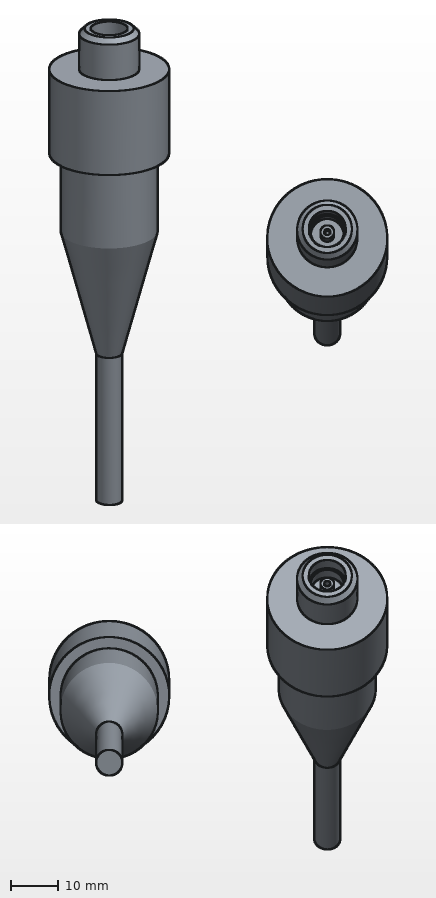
import cadquery as cq

cable_diameter = 5.6
sleeve_diameter = 20.6
collar_diameter = 25.4
nose_diameter = 12.7
socket_diameter = 7.8
bore_diameter = 7.0
pin_diameter = 2.9
pin_hole_diameter = 1.3

cable_end = 0.0
cable_end_rise = 0.16
taper_bottom = 33.4
taper_top = 61.1
collar_bottom = 78.8
collar_top = 97.9
nose_top = 107.1

nose_chamfer = 1.2
socket_depth = 3.3
bore_depth = 6.4
pin_height = 3.2
pin_hole_depth = 2.1

bore_floor = nose_top - bore_depth
pin_top = bore_floor + pin_height


def cylinder(diameter, bottom, top):
    """Upright cylinder on the common axis."""
    return cq.Workplane("XY").workplane(offset=bottom).circle(diameter / 2).extrude(top - bottom)


def make_cable():
    """Round cable below the sleeve, its free end cut slightly aslant and lowest at +X."""
    cable_radius = cable_diameter / 2
    slanted_offcut = (
        cq.Workplane("XZ")
        .polyline([
            (-cable_radius, cable_end),
            (cable_radius, cable_end),
            (-cable_radius, cable_end + cable_end_rise),
        ])
        .close()
        .extrude(cable_radius, both=True)
    )
    return cylinder(cable_diameter, cable_end, taper_bottom).cut(slanted_offcut)


def make_sleeve():
    """Strain-relief sleeve: a straight barrel that tapers down to the cable."""
    profile = [
        (0, taper_bottom),
        (cable_diameter / 2, taper_bottom),
        (sleeve_diameter / 2, taper_top),
        (sleeve_diameter / 2, collar_bottom),
        (0, collar_bottom),
    ]
    return cq.Workplane("XZ").polyline(profile).close().revolve(360, (0, 0), (0, 1))


def make_connector():
    """Collar with a chamfered nose and a stepped socket."""
    collar = cylinder(collar_diameter, collar_bottom, collar_top)
    nose = cylinder(nose_diameter, collar_top, nose_top).faces(">Z").chamfer(nose_chamfer)
    socket = cylinder(socket_diameter, nose_top - socket_depth, nose_top)
    bore = cylinder(bore_diameter, bore_floor, nose_top)
    return collar.union(nose).cut(socket).cut(bore)


def make_pin():
    """Contact pin standing on the bore floor, with a blind hole in its tip."""
    pin = cylinder(pin_diameter, bore_floor, pin_top)
    return pin.cut(cylinder(pin_hole_diameter, pin_top - pin_hole_depth, pin_top))


cable = make_cable()
sleeve = make_sleeve()
connector = make_connector()
pin = make_pin()

result = cq.Compound.makeCompound([cable.val(), sleeve.val(), connector.val(), pin.val()])